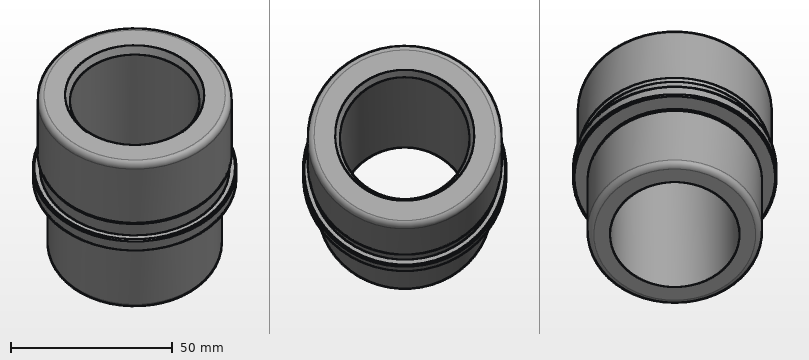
import cadquery as cq
import math

total_height = 67.0
collar_bottom = 30.0
collar_thickness = 5.0
collar_top = collar_bottom + collar_thickness
undercut_height = 2.0
neck_height = 5.0
neck_top = collar_top + neck_height

bore_radius = 20.0
spigot_radius = 27.0
neck_radius = 29.35
head_radius = 30.0
collar_radius = 31.5

end_rounding = 2.0
collar_chamfer = 0.5
neck_taper_height = 1.2
undercut_arc_radius = 3.0
bore_chamfer_width = 1.5
bore_chamfer_depth = 2.6


def make_body():
    """Revolve the stepped outer profile into a solid body."""
    undercut_depth = undercut_arc_radius - math.sqrt(undercut_arc_radius**2 - undercut_height**2)
    undercut_radius = spigot_radius - undercut_depth
    collar_edge_radius = collar_radius - collar_chamfer
    profile = (
        cq.Workplane("XZ")
        .moveTo(0, 0)
        .lineTo(spigot_radius, 0)
        .lineTo(spigot_radius, collar_bottom - undercut_height)
        .radiusArc((undercut_radius, collar_bottom), undercut_arc_radius)
        .lineTo(collar_edge_radius, collar_bottom)
        .lineTo(collar_radius, collar_bottom + collar_chamfer)
        .lineTo(collar_radius, collar_top - collar_chamfer)
        .lineTo(collar_edge_radius, collar_top)
        .lineTo(neck_radius, collar_top)
        .lineTo(neck_radius, neck_top)
        .lineTo(head_radius, neck_top + neck_taper_height)
        .lineTo(head_radius, total_height)
        .lineTo(0, total_height)
        .close()
    )
    return profile.revolve(360, (0, 0, 0), (0, 1, 0))


def round_ends(body):
    """Round the outer edge of both end faces."""
    return body.faces("<Z or >Z").edges().fillet(end_rounding)


def cut_bore(body):
    """Cut the through bore and its lead-in chamfer at the top."""
    cutter = (
        cq.Workplane("XZ")
        .moveTo(0, 0)
        .lineTo(bore_radius, 0)
        .lineTo(bore_radius, total_height - bore_chamfer_depth)
        .lineTo(bore_radius + bore_chamfer_width, total_height)
        .lineTo(0, total_height)
        .close()
        .revolve(360, (0, 0, 0), (0, 1, 0))
    )
    return body.cut(cutter)


result = cut_bore(round_ends(make_body()))